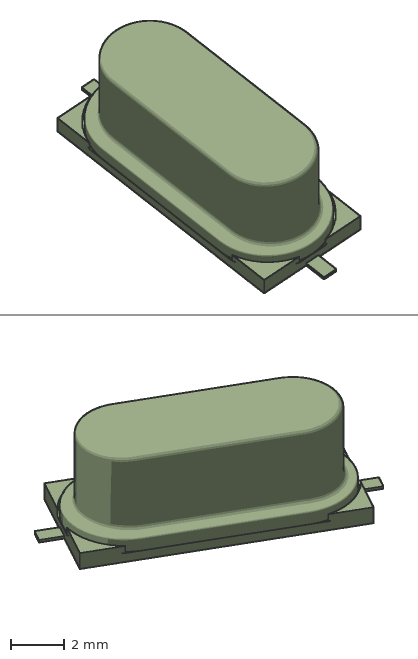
import cadquery as cq

overall_length = 13.4
overall_height = 4.3

base_length = 11.43
base_width = 4.9
base_height = 0.72
recess_floor_height = 0.4

straight_length = 6.51
can_width = 3.82
flange_top_height = 0.99
flange_edge_radius = 0.08
can_blend_radius = 0.24
flange_width = base_width
recess_clearance = 0.1
recess_width = flange_width + 2 * recess_clearance

lead_width = 0.63
lead_thickness = 0.12
lead_length = (overall_length - base_length) / 2


def slot_prism(width, bottom, top):
    """Upright prism with a round-ended outline; all widths share the same end centres."""
    return (
        cq.Workplane("XY", origin=(0, 0, bottom))
        .slot2D(straight_length + width, width)
        .extrude(top - bottom)
    )


def make_base():
    """Rectangular plate whose recess breaks out through all four sides."""
    plate = cq.Workplane("XY").box(base_length, base_width, base_height, centered=(True, True, False))
    return plate.cut(slot_prism(recess_width, recess_floor_height, base_height))


def make_can():
    """Flanged cover standing on the recess floor, with rounded top and blended foot."""
    flange = slot_prism(flange_width, recess_floor_height, flange_top_height)
    flange = flange.faces(">Z").edges().fillet(flange_edge_radius)
    cover = slot_prism(can_width, flange_top_height, overall_height)
    cover = cover.faces(">Z").edges().fillet(can_blend_radius)
    can = flange.union(cover)
    foot_margin = 0.04
    half_length = (straight_length + can_width) / 2 + foot_margin
    half_width = can_width / 2 + foot_margin
    foot_zone = cq.selectors.BoxSelector(
        (-half_length, -half_width, flange_top_height - foot_margin),
        (half_length, half_width, flange_top_height + foot_margin),
    )
    return can.edges(foot_zone).fillet(can_blend_radius)


def make_lead(side):
    """Flat strip butting against one end of the base; side is -1 or +1 along X."""
    center_x = side * (base_length + lead_length) / 2
    return (
        cq.Workplane("XY")
        .box(lead_length, lead_width, lead_thickness, centered=(True, True, False))
        .translate((center_x, 0, 0))
    )


base = make_base()
can = make_can()
leads = [make_lead(side) for side in (-1, 1)]

result = cq.Compound.makeCompound([base.solids().val(), can.solids().val(), *[lead.val() for lead in leads]])